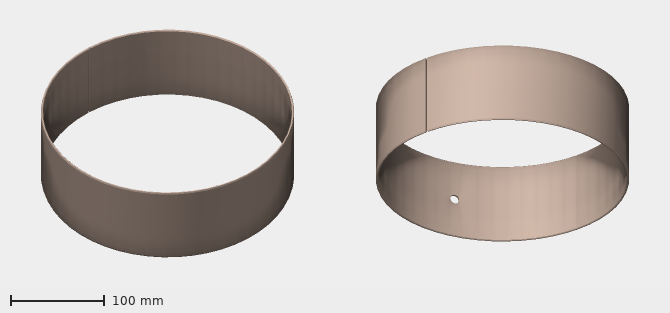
import cadquery as cq

outer_diameter = 270.0
height = 90.0
wall = 2.5
outer_bevel_depth = 0.6
outer_bevel_height = 1.5
inner_chamfer = 0.8
slit_width = 2.2
hole_diameter = 10.0
hole_angle = 59.0

outer_radius = outer_diameter / 2
inner_radius = outer_radius - wall
hole_height = height / 2


def make_band():
    """Revolve the wall section, bevelled outside and chamfered inside at both rims."""
    rim_outer_radius = outer_radius - outer_bevel_depth
    rim_inner_radius = inner_radius + inner_chamfer
    section = (
        cq.Workplane("XZ")
        .moveTo(rim_inner_radius, 0)
        .lineTo(rim_outer_radius, 0)
        .lineTo(outer_radius, outer_bevel_height)
        .lineTo(outer_radius, height - outer_bevel_height)
        .lineTo(rim_outer_radius, height)
        .lineTo(rim_inner_radius, height)
        .lineTo(inner_radius, height - inner_chamfer)
        .lineTo(inner_radius, inner_chamfer)
        .close()
    )
    return section.revolve(360, (0, 0, 0), (0, 1, 0))


def make_slit():
    """Full-height cutter through the -X wall, with one side on the XZ plane."""
    slit = cq.Workplane("XY").box(outer_radius, slit_width, height, centered=False)
    return slit.translate((-outer_radius, 0, 0))


def make_hole():
    """Radial cutter that passes through one side of the wall."""
    cutter = cq.Workplane("YZ").center(0, hole_height).circle(hole_diameter / 2).extrude(outer_radius)
    return cutter.rotate((0, 0, 0), (0, 0, 1), hole_angle)


result = make_band().cut(make_slit()).cut(make_hole())